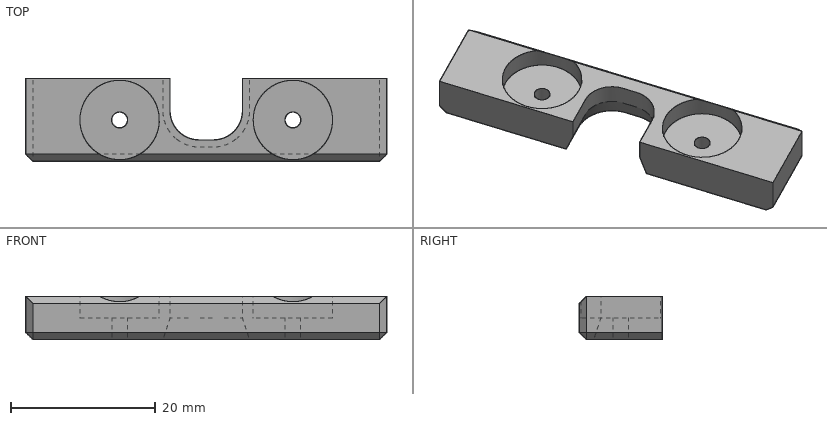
import cadquery as cq

length = 50.0
width = 11.5
height = 6.0
edge_chamfer = 1.0

notch_width = 10.0
notch_depth = 8.5
notch_corner_radius = 4.0
flare_width = 1.0
flare_height = 3.0

pocket_spacing = 24.0
pocket_diameter = 11.0
pocket_depth = 3.0
hole_diameter = 2.16

back_y = width / 2


def make_bar():
    """Bar with chamfers all round the front face and along both lower end edges."""
    bar = cq.Workplane("XY").box(length, width, height, centered=(True, True, False))
    front_edges = bar.faces("<Y").edges().vals()
    lower_end_edges = bar.faces("<Z").edges("|Y").vals()
    return bar.newObject(front_edges + lower_end_edges).chamfer(edge_chamfer)


def notch_outline(z, growth):
    """Outline of the notch at height z, offset outwards by growth.

    It reaches past the back face so that the cut is open there.
    """
    half_width = notch_width / 2 + growth
    radius = notch_corner_radius + growth
    floor_y = back_y - notch_depth - growth
    arc_start_y = floor_y + radius
    floor_half_width = half_width - radius
    open_y = back_y + notch_depth
    return (
        cq.Workplane("XY", origin=(0, 0, z))
        .moveTo(half_width, open_y)
        .lineTo(half_width, arc_start_y)
        .tangentArcPoint((floor_half_width, floor_y), relative=False)
        .lineTo(-floor_half_width, floor_y)
        .tangentArcPoint((-half_width, arc_start_y), relative=False)
        .lineTo(-half_width, open_y)
        .close()
    )


def make_notch():
    """Cutter for the notch: straight walls above, flaring outwards to the underside."""
    straight = notch_outline(0, 0).extrude(height)
    flare_bottom = notch_outline(0, flare_width).val()
    flare_top = notch_outline(flare_height, 0).val()
    flare = cq.Solid.makeLoft([flare_bottom, flare_top], True)
    return straight.union(cq.Workplane(flare))


def cut_pockets(body):
    """Sink the two round pockets and drill their centre holes."""
    pocket_x = pocket_spacing / 2
    return (
        body.faces(">Z")
        .workplane(origin=(0, 0, height))
        .pushPoints([(-pocket_x, 0), (pocket_x, 0)])
        .cboreHole(hole_diameter, pocket_diameter, pocket_depth)
    )


result = cut_pockets(make_bar().cut(make_notch()))